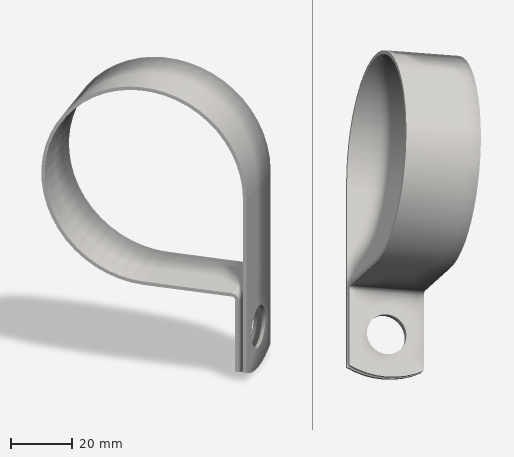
import cadquery as cq
import math

DIAGONAL = math.sqrt(0.5)

total_height = 100.4
loop_width = 70.7
strip_width = 25.4
thickness = 1.2
leg_gap = 1.5
bend_inner_radius = 1.2
short_leg_hole_diameter = 13.5
long_leg_hole_diameter = 14.5
hole_height = 14.4
end_rise = 3.0

outer_radius = loop_width / 2
inner_radius = outer_radius - thickness
bend_outer_radius = bend_inner_radius + thickness
bottom = outer_radius - total_height
short_leg_outer = inner_radius - leg_gap
short_leg_inner = short_leg_outer - thickness
bend_x = short_leg_outer - bend_outer_radius
bend_z = -outer_radius - bend_inner_radius
half_width = strip_width / 2


def bent_strip():
    """Constant-thickness strip: long leg, three-quarter loop, flat, bend and short leg."""
    return (
        cq.Workplane("XZ", origin=(0, half_width, 0))
        .moveTo(outer_radius, bottom)
        .lineTo(outer_radius, 0)
        .threePointArc((-outer_radius * DIAGONAL, outer_radius * DIAGONAL), (0, -outer_radius))
        .lineTo(bend_x, -outer_radius)
        .radiusArc((short_leg_inner, bend_z), bend_inner_radius)
        .lineTo(short_leg_inner, bottom)
        .lineTo(short_leg_outer, bottom)
        .lineTo(short_leg_outer, bend_z)
        .radiusArc((bend_x, -inner_radius), -bend_outer_radius)
        .lineTo(0, -inner_radius)
        .threePointArc((-inner_radius * DIAGONAL, inner_radius * DIAGONAL), (inner_radius, 0))
        .lineTo(inner_radius, bottom)
        .close()
        .extrude(strip_width)
    )


def end_rounding_block():
    """Oversized block as wide as the strip, with the shallow arc that rounds the leg ends."""
    return (
        cq.Workplane("YZ")
        .moveTo(-half_width, loop_width)
        .lineTo(-half_width, bottom + end_rise)
        .threePointArc((0, bottom), (half_width, bottom + end_rise))
        .lineTo(half_width, loop_width)
        .close()
        .extrude(loop_width, both=True)
    )


def leg_hole(start_x, diameter):
    """Bolt hole cutter that starts at start_x and reaches the outer face of the long leg."""
    return (
        cq.Workplane("YZ", origin=(start_x, 0, bottom + hole_height))
        .circle(diameter / 2)
        .extrude(outer_radius - start_x)
    )


result = (
    bent_strip()
    .intersect(end_rounding_block())
    .cut(leg_hole(short_leg_inner, short_leg_hole_diameter))
    .cut(leg_hole(short_leg_outer, long_leg_hole_diameter))
)